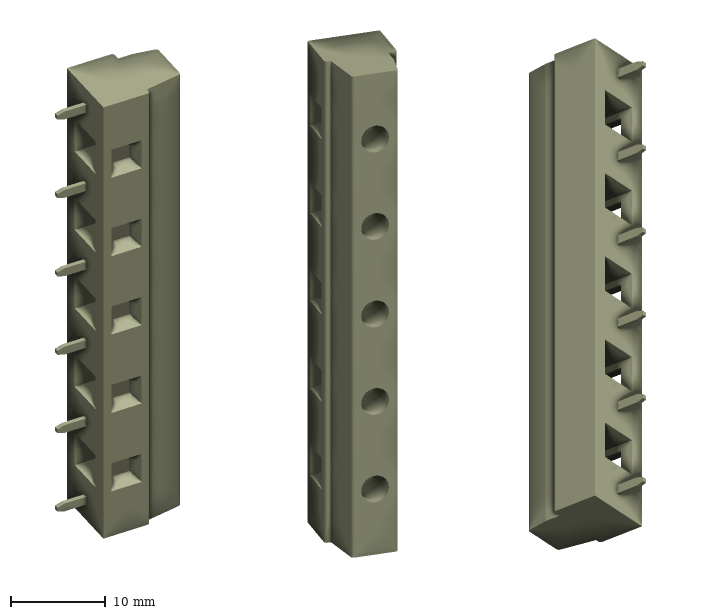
import cadquery as cq


strip_length = 55.9
module_count = 5
pitch = strip_length / (module_count + 0.5)
end_length = pitch / 4
first_joint = -module_count * pitch / 2

base_width = 8.1
shoulder_y = 5.6
housing_depth = 10.05
ridge_top_half_width = 2.55
ridge_left_foot = 3.0
ridge_right_foot = 3.35
left_slope_drop = 2.7
edge_radius = 0.35

pocket_width = 4.65
pocket_height = 4.2
pocket_depth = 5.6
hole_diameter = 3.1

entry_start_y = 1.45
entry_size = 2.6
entry_straight_length = 0.3
entry_flare = 0.5

pin_length = 3.45
pin_thickness = 0.5
pin_height = 1.0
pin_tip_height = 0.5
pin_tip_length = 0.85


def housing_block(bottom, height):
    """Plain length of the housing section, with its outer corners rounded."""
    half_base = base_width / 2
    outline = [
        (-half_base, 0),
        (half_base, 0),
        (half_base, shoulder_y),
        (ridge_right_foot, shoulder_y),
        (ridge_top_half_width, housing_depth),
        (-ridge_top_half_width, housing_depth),
        (-ridge_left_foot, housing_depth - left_slope_drop),
        (-ridge_left_foot, shoulder_y),
        (-half_base, shoulder_y),
    ]
    block = cq.Workplane("XY").workplane(offset=bottom).polyline(outline).close().extrude(height)
    shoulder_corners = [(-half_base, shoulder_y), (half_base, shoulder_y)]
    ridge_corners = [(-ridge_top_half_width, housing_depth), (ridge_top_half_width, housing_depth)]
    middle = bottom + height / 2
    for x, y in shoulder_corners + ridge_corners:
        block = block.edges(cq.selectors.NearestToPointSelector((x, y, middle))).fillet(edge_radius)
    return block


def half_pin(joint, direction):
    """Half of a tapered pin, on one side of a joint: direction is +1 above it and -1 below it."""
    root_edge = joint + direction * pin_height / 2
    tip_edge = joint + direction * pin_tip_height / 2
    outline = [
        (0, joint),
        (0, root_edge),
        (-pin_length + pin_tip_length, root_edge),
        (-pin_length, tip_edge),
        (-pin_length, joint),
    ]
    return cq.Workplane("YZ").polyline(outline).close().extrude(pin_thickness / 2, both=True)


def wire_opening(center):
    """Rectangular pocket from the pin face, with a round hole on through the ridge."""
    pocket = cq.Workplane("XY").box(pocket_width, pocket_depth, pocket_height)
    pocket = pocket.translate((0, pocket_depth / 2, center))
    face = cq.Workplane("XZ", origin=(0, 0, center))
    hole = face.circle(hole_diameter / 2).extrude(-housing_depth)
    return pocket.union(hole)


def wire_entry(center):
    """Square window from the pocket out to the +X side, wider at the outside."""
    flare_x = pocket_width / 2 + entry_straight_length
    outer_x = base_width / 2
    entry_y = entry_start_y + entry_size / 2
    outer_size = entry_size + 2 * entry_flare
    straight = cq.Workplane("YZ", origin=(0, entry_y, center)).rect(entry_size, entry_size).extrude(flare_x)
    flare = (
        cq.Workplane("YZ", origin=(flare_x, entry_y, center))
        .rect(entry_size, entry_size)
        .workplane(offset=outer_x - flare_x)
        .rect(outer_size, outer_size)
        .loft(ruled=True)
    )
    return straight.union(flare)


def wire_module(bottom):
    """Module with one wire opening and half a pin at each end."""
    top = bottom + pitch
    center = bottom + pitch / 2
    module = housing_block(bottom, pitch).cut(wire_opening(center)).cut(wire_entry(center))
    return module.union(half_pin(bottom, 1)).union(half_pin(top, -1))


def bottom_end():
    """Plain end piece below the first joint."""
    block = housing_block(first_joint - end_length, end_length)
    return block.union(half_pin(first_joint, -1))


def top_end():
    """Plain end piece above the last joint."""
    last_joint = first_joint + module_count * pitch
    return housing_block(last_joint, end_length).union(half_pin(last_joint, 1))


wire_modules = [wire_module(first_joint + index * pitch) for index in range(module_count)]

result = cq.Compound.makeCompound(
    [bottom_end().val(), *[module.val() for module in wire_modules], top_end().val()]
)